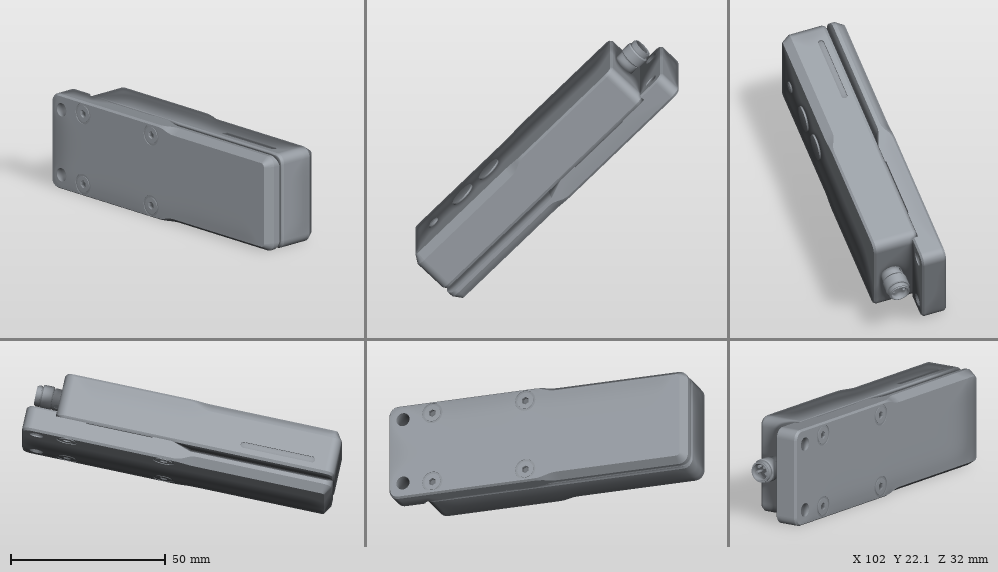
import cadquery as cq
import math

LENGTH = 102.0
HEIGHT = 32.0
CORNER_RADIUS = 3.1
HALF_HEIGHT = HEIGHT / 2

SEAT_Y = 6.3
FOOT_Y = 8.3
FOOT_CHAMFER = 0.6
MOUNT_HOLE_DIAMETER = 4.5
MOUNT_HOLE_X = 4.9
MOUNT_HOLE_Z = 11.0
END_CHAMFER = 1.2
EDGE_RECESS_START = 20.0
EDGE_RECESS_END = 42.0
EDGE_RECESS_DEPTH = 0.3
EDGE_RECESS_WIDTH = 1.0

HOUSING_X = 9.9
HOUSING_BACK_Y = 21.3
SEAT_CHAMFER_INSET = 0.5
SEAT_CHAMFER_DEPTH = 0.9

BEVEL_INSET = 1.8
PLATE_BEVEL_DEPTH = 2.9
PLATE_BEVEL_START = 50.0
HOUSING_BEVEL_DEPTH = 2.8
HOUSING_BEVEL_START = 51.1
BEVEL_RUNOUT = 7.6
FACE_CHAMFER_INSET = 0.5
BEVEL_END_X = 81.6

CLEARANCE_INSET = 6.6
CLEARANCE_DEPTH = 2.1
CLEARANCE_START = 48.6
CLEARANCE_RUNOUT = 6.3

SCREW_COLUMNS = (15.0, 47.0)
SCREW_Z = 11.9
SCREW_RECESS_DIAMETER = 6.9
SCREW_HEAD_DIAMETER = 5.5
SCREW_GROOVE_DEPTH = 0.2
HEX_ACROSS_FLATS = 2.2
HEX_DEPTH = 1.2
HEX_HALF_ANGLE = 30.0

WINDOW_START = 70.4
WINDOW_END = 95.1
WINDOW_Y = 10.0
WINDOW_WIDTH = 1.9
WINDOW_DEPTH = 0.5

BUTTON_COLUMNS = (66.1, 78.1)
BUTTON_DIAMETER = 8.6
BUTTON_HEIGHT = 0.6
LAMP_X = 91.6
LAMP_DIAMETER = 3.9
LAMP_TOP_DIAMETER = 2.0
LAMP_RIM_HEIGHT = 0.5
LAMP_HEIGHT = 0.8

CONNECTOR_Y = 15.5
CONNECTOR_TIP_X = 1.3
TIP_END_X = 1.7
THREAD_END_X = 3.0
COLLAR_START_X = 3.3
COLLAR_END_X = 6.9
NECK_START_X = 7.2
CORE_RADIUS = 6.4 / 2
NECK_RADIUS = 7.2 / 2
THREAD_RADIUS = 6.9 / 2
COLLAR_RADIUS = 8.0 / 2
COLLAR_CHAMFER = 0.3
BORE_RADIUS = 5.7 / 2
BORE_DEPTH = 4.1
PIN_DIAMETER = 1.0
PIN_LENGTH = 3.1
PIN_OFFSETS = ((-1.07, 1.5), (1.07, 1.5), (-1.78, -0.46), (1.78, -0.46))
DIMPLE_X = 8.7
DIMPLE_ANGLE = 52.0
DIMPLE_DIAMETER = 1.6
DIMPLE_DEPTH = 0.4

MARGIN = 5.1


def block(x_start, x_end, y_start, y_end, z_start, z_end):
    """Box between the given limits."""
    size = (x_end - x_start, y_end - y_start, z_end - z_start)
    return cq.Workplane("XY").box(*size, centered=False).translate((x_start, y_start, z_start))


def rounded_slab(x_start, y_start, y_end):
    """Full-height slab from x_start to the far end with rounded upright corners."""
    slab = block(x_start, LENGTH, y_start, y_end, -HALF_HEIGHT, HALF_HEIGHT)
    return slab.edges("|Y").fillet(CORNER_RADIUS)


def facing_plane(y, y_direction, x=0.0):
    """Plane at the given y facing +Y or -Y, with its local x along X."""
    return cq.Plane(origin=(x, y, 0), xDir=(1, 0, 0), normal=(0, y_direction, 0))


def bevel_depth(inset, depth):
    """Distance from a sharp edge to the bevel plane that replaces it."""
    return inset * depth / math.hypot(inset, depth)


def edge_plane(face_y, y_inward, z_side, inset, depth):
    """Plane across a long edge: local x along X, local y into the body, square to the bevel."""
    span = math.hypot(inset, depth)
    inward_y = y_inward * inset / span
    inward_z = -z_side * depth / span
    return cq.Plane(
        origin=(0, face_y, z_side * HALF_HEIGHT),
        xDir=(1, 0, 0),
        normal=(0, -inward_z, inward_y),
    )


def face_chamfer_depth(depth):
    """Depth along Y of the narrow chamfer with the same slope as a bevel of this depth."""
    return FACE_CHAMFER_INSET * depth / BEVEL_INSET


def curved_bevel_cutter(plane, cut, start):
    """Bevel that swells from the narrow chamfer through two opposed tangent arcs."""
    first_cut = cut * FACE_CHAMFER_INSET / BEVEL_INSET
    half_run = BEVEL_RUNOUT / 2
    half_rise = (cut - first_cut) / 2
    radius = (half_run**2 + half_rise**2) / (2 * half_rise)
    return (
        cq.Workplane(plane)
        .moveTo(start, first_cut)
        .radiusArc((start + half_run, first_cut + half_rise), -radius)
        .radiusArc((start + BEVEL_RUNOUT, cut), radius)
        .lineTo(LENGTH + MARGIN, cut)
        .lineTo(LENGTH + MARGIN, -MARGIN)
        .lineTo(start, -MARGIN)
        .close()
        .extrude(MARGIN, both=True)
    )


def end_bevel_cutter(x_start, face_y, y_inward, depth):
    """Bevel around the far end and its two rounded corners."""
    bevel_start_y = face_y + y_inward * depth
    length = LENGTH - x_start
    plane = facing_plane(bevel_start_y, -y_inward, x=x_start + length / 2)
    taper = math.degrees(math.atan2(BEVEL_INSET, depth))
    outline = cq.Sketch().rect(length, HEIGHT).vertices().fillet(CORNER_RADIUS)
    kept = cq.Workplane(plane).placeSketch(outline).extrude(depth, taper=taper)
    low_y, high_y = sorted((bevel_start_y, face_y))
    outer_z = HALF_HEIGHT + MARGIN
    end_zone = block(BEVEL_END_X, LENGTH + MARGIN, low_y, high_y, -outer_z, outer_z)
    return end_zone.cut(kept)


def cut_bevels(body, x_start, face_y, y_inward, depth, start):
    """Bevel both long edges and the far end of one large face."""
    cut = bevel_depth(BEVEL_INSET, depth)
    for z_side in (1, -1):
        plane = edge_plane(face_y, y_inward, z_side, BEVEL_INSET, depth)
        body = body.cut(curved_bevel_cutter(plane, cut, start))
    return body.cut(end_bevel_cutter(x_start, face_y, y_inward, depth))


def clearance_cutter(z_side):
    """Shallow slope on the plate back that opens a wedge below the housing."""
    plane = edge_plane(SEAT_Y, -1, z_side, CLEARANCE_INSET, CLEARANCE_DEPTH)
    cut = bevel_depth(CLEARANCE_INSET, CLEARANCE_DEPTH)
    outline = [
        (CLEARANCE_START, 0),
        (CLEARANCE_START + CLEARANCE_RUNOUT, cut),
        (LENGTH + MARGIN, cut),
        (LENGTH + MARGIN, -MARGIN),
        (CLEARANCE_START, -MARGIN),
    ]
    reach = 2 * CLEARANCE_INSET
    return cq.Workplane(plane).polyline(outline).close().extrude(reach, both=True)


def end_chamfer_cutter():
    """Wedge along the back edge of the far plate end."""
    outline = [(LENGTH, SEAT_Y - END_CHAMFER), (LENGTH, SEAT_Y), (LENGTH - END_CHAMFER, SEAT_Y)]
    return cq.Workplane("XY").polyline(outline).close().extrude(HALF_HEIGHT, both=True)


def edge_recess_cutter(z_side):
    """Shallow recess in the seat plane, open to one long side."""
    floor_y = SEAT_Y - EDGE_RECESS_DEPTH
    inner_z = z_side * (HALF_HEIGHT - EDGE_RECESS_WIDTH)
    outer_z = z_side * (HALF_HEIGHT + MARGIN)
    low_z, high_z = sorted((inner_z, outer_z))
    return block(EDGE_RECESS_START, EDGE_RECESS_END, floor_y, SEAT_Y, low_z, high_z)


def cut_screws(plate):
    """Ring grooves around the flush screw heads and their hexagon sockets."""
    centers = [(x, z) for x in SCREW_COLUMNS for z in (-SCREW_Z, SCREW_Z)]
    heads = cq.Workplane(facing_plane(0, 1)).pushPoints(centers)
    grooves = (
        heads.circle(SCREW_RECESS_DIAMETER / 2)
        .circle(SCREW_HEAD_DIAMETER / 2)
        .extrude(SCREW_GROOVE_DEPTH)
    )
    corner_diameter = HEX_ACROSS_FLATS / math.cos(math.radians(HEX_HALF_ANGLE))
    socket = (
        cq.Workplane(facing_plane(0, 1))
        .polygon(6, corner_diameter)
        .extrude(HEX_DEPTH)
        .rotate((0, 0, 0), (0, 1, 0), HEX_HALF_ANGLE)
    )
    plate = plate.cut(grooves)
    for x, z in centers:
        plate = plate.cut(socket.translate((x, 0, z)))
    return plate


def make_plate():
    """Mounting plate with its thicker foot, bevels, clearance, screws and holes."""
    plate = rounded_slab(0, 0, FOOT_Y)
    plate = plate.faces(">Y").chamfer(FOOT_CHAMFER)
    plate = plate.faces("<Y").chamfer(FACE_CHAMFER_INSET, face_chamfer_depth(PLATE_BEVEL_DEPTH))
    outer_z = HALF_HEIGHT + MARGIN
    plate = plate.cut(block(HOUSING_X, LENGTH + MARGIN, SEAT_Y, FOOT_Y + MARGIN, -outer_z, outer_z))
    plate = plate.cut(end_chamfer_cutter())
    plate = cut_bevels(plate, 0, 0, 1, PLATE_BEVEL_DEPTH, PLATE_BEVEL_START)
    for z_side in (1, -1):
        plate = plate.cut(clearance_cutter(z_side))
        plate = plate.cut(edge_recess_cutter(z_side))
    plate = cut_screws(plate)
    mount_holes = (
        cq.Workplane(facing_plane(0, 1))
        .pushPoints([(MOUNT_HOLE_X, MOUNT_HOLE_Z), (MOUNT_HOLE_X, -MOUNT_HOLE_Z)])
        .circle(MOUNT_HOLE_DIAMETER / 2)
        .extrude(FOOT_Y)
    )
    return plate.cut(mount_holes)


def make_housing():
    """Electronics housing with bevels and the indicator window."""
    housing = rounded_slab(HOUSING_X, SEAT_Y, HOUSING_BACK_Y)
    housing = housing.faces("<Y").chamfer(SEAT_CHAMFER_INSET, SEAT_CHAMFER_DEPTH)
    housing = housing.faces(">Y").chamfer(FACE_CHAMFER_INSET, face_chamfer_depth(HOUSING_BEVEL_DEPTH))
    housing = cut_bevels(
        housing, HOUSING_X, HOUSING_BACK_Y, -1, HOUSING_BEVEL_DEPTH, HOUSING_BEVEL_START
    )
    window = (
        cq.Workplane("XY", origin=((WINDOW_START + WINDOW_END) / 2, WINDOW_Y, HALF_HEIGHT))
        .slot2D(WINDOW_END - WINDOW_START, WINDOW_WIDTH)
        .extrude(-WINDOW_DEPTH)
    )
    return housing.cut(window)


def make_controls():
    """Two round buttons and the domed lamp."""
    back = facing_plane(HOUSING_BACK_Y, 1)
    buttons = (
        cq.Workplane(back)
        .pushPoints([(x, 0) for x in BUTTON_COLUMNS])
        .circle(BUTTON_DIAMETER / 2)
        .extrude(BUTTON_HEIGHT)
    )
    dome_height = LAMP_HEIGHT - LAMP_RIM_HEIGHT
    dome_edge = (LAMP_DIAMETER - LAMP_TOP_DIAMETER) / 2
    lamp = (
        cq.Workplane(back)
        .center(LAMP_X, 0)
        .circle(LAMP_DIAMETER / 2)
        .extrude(LAMP_HEIGHT)
        .faces(">Y")
        .chamfer(dome_height, dome_edge)
    )
    return buttons.union(lamp)


def make_connector():
    """Round plug with collar, open bore, contact pins and a dimple in the neck."""
    bore_end_x = CONNECTOR_TIP_X + BORE_DEPTH
    profile = [
        (CONNECTOR_TIP_X, BORE_RADIUS),
        (CONNECTOR_TIP_X, CORE_RADIUS),
        (TIP_END_X, CORE_RADIUS),
        (TIP_END_X, THREAD_RADIUS),
        (THREAD_END_X, THREAD_RADIUS),
        (THREAD_END_X, CORE_RADIUS),
        (COLLAR_START_X, CORE_RADIUS),
        (COLLAR_START_X, COLLAR_RADIUS - COLLAR_CHAMFER),
        (COLLAR_START_X + COLLAR_CHAMFER, COLLAR_RADIUS),
        (COLLAR_END_X - COLLAR_CHAMFER, COLLAR_RADIUS),
        (COLLAR_END_X, COLLAR_RADIUS - COLLAR_CHAMFER),
        (COLLAR_END_X, CORE_RADIUS),
        (NECK_START_X, CORE_RADIUS),
        (NECK_START_X, NECK_RADIUS),
        (HOUSING_X, NECK_RADIUS),
        (HOUSING_X, 0),
        (bore_end_x, 0),
        (bore_end_x, BORE_RADIUS),
    ]
    plug = cq.Workplane("XY").polyline(profile).close().revolve(360, (0, 0, 0), (1, 0, 0))
    pins = (
        cq.Workplane("YZ", origin=(bore_end_x, 0, 0))
        .pushPoints(PIN_OFFSETS)
        .circle(PIN_DIAMETER / 2)
        .extrude(-PIN_LENGTH)
    )
    dimple = (
        cq.Workplane("XY", origin=(DIMPLE_X, 0, NECK_RADIUS - DIMPLE_DEPTH))
        .circle(DIMPLE_DIAMETER / 2)
        .extrude(2 * DIMPLE_DEPTH)
        .rotate((0, 0, 0), (1, 0, 0), DIMPLE_ANGLE)
    )
    return plug.union(pins).cut(dimple).translate((0, CONNECTOR_Y, 0))


result = make_plate().union(make_housing()).union(make_controls()).union(make_connector())